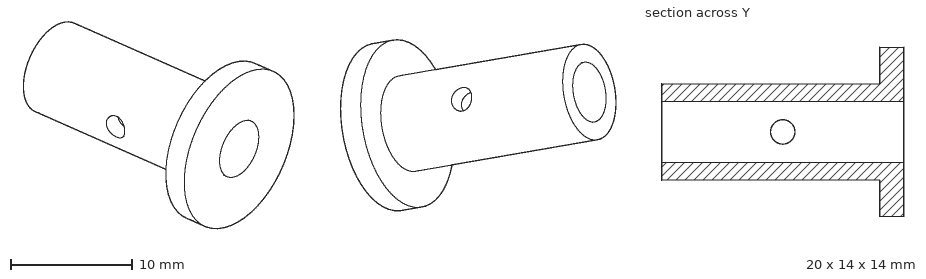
import cadquery as cq

total_length = 20.0
flange_diameter = 14.0
flange_thickness = 2.0
tube_diameter = 8.0
bore_diameter = 5.0
cross_hole_diameter = 2.0

tube_length = total_length - flange_thickness
cross_hole_x = total_length / 2


def cylinder_along_x(diameter, start, length):
    """Solid cylinder on the X axis, starting at the given X."""
    return cq.Workplane("YZ", origin=(start, 0, 0)).circle(diameter / 2).extrude(length)


tube = cylinder_along_x(tube_diameter, 0, tube_length)
flange = cylinder_along_x(flange_diameter, tube_length, flange_thickness)

bore = cylinder_along_x(bore_diameter, 0, total_length)

cross_hole = (
    cq.Workplane("XZ")
    .center(cross_hole_x, 0)
    .circle(cross_hole_diameter / 2)
    .extrude(tube_diameter, both=True)
)

result = tube.union(flange).cut(bore).cut(cross_hole)